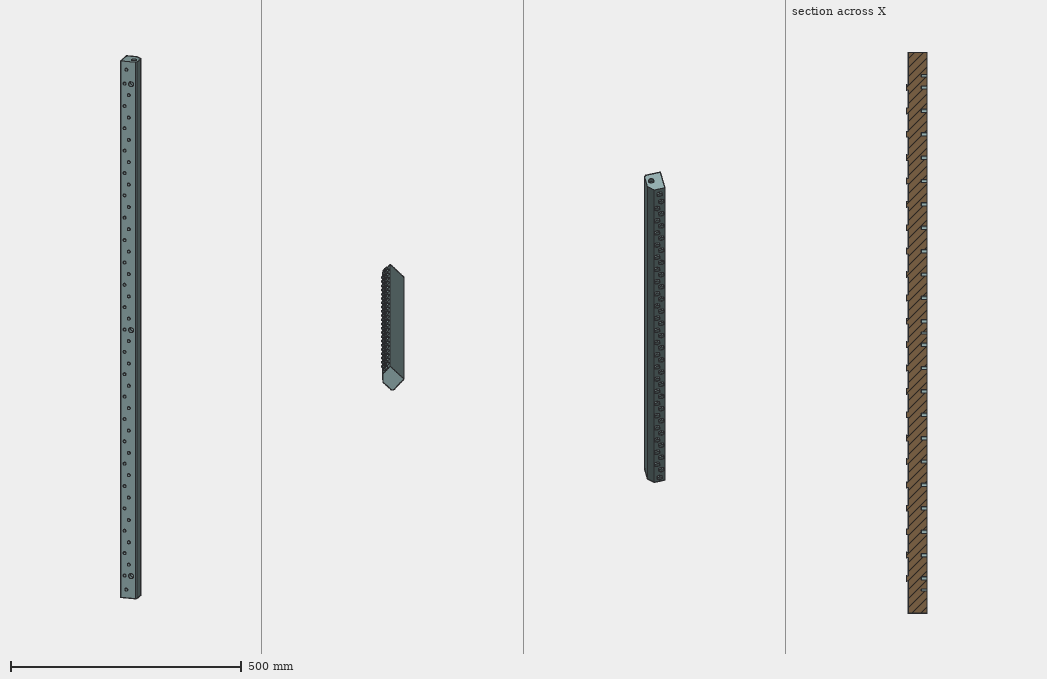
import cadquery as cq
import math

INCH = 25.4

length = 48 * INCH
width = 1.438 * INCH
overall_depth = 1.78 * INCH
head_height = 0.155 * INCH
bar_depth = overall_depth - head_height
rear_chamfer = 0.48 * INCH
front_chamfer = 0.125 * INCH

left_x = -width / 2
right_x = width / 2
front_y = -overall_depth / 2
rear_y = front_y + bar_depth
top_z = length / 2

hole_diameter = 0.25 * INCH
hole_depth = 0.5 * INCH
head_across_flats = 7 / 16 * INCH
head_across_corners = head_across_flats / math.cos(math.pi / 6)
outer_bolt_x = left_x + 11 / 32 * INCH
inner_bolt_x = 0
end_bolt_x = left_x + 0.5 * INCH
end_bolt_z = top_z - 0.75 * INCH
bolt_pitch = 1.0 * INCH
last_row = 22

pocket_diameter = 7 / 16 * INCH
pocket_depth = 0.5 * INCH
drill_point_angle = math.radians(118)
front_pocket_x = left_x + 0.93 * INCH
front_pocket_heights = (-last_row * bolt_pitch, 0, last_row * bolt_pitch)
top_pocket_x = right_x - 0.46 * INCH
top_pocket_y = front_y + 0.665 * INCH


def bar():
    """Full-length bar with a large chamfer on its rear right edge and a small one on its front right edge."""
    outline = [
        (left_x, front_y),
        (right_x - front_chamfer, front_y),
        (right_x, front_y + front_chamfer),
        (right_x, rear_y - rear_chamfer),
        (right_x - rear_chamfer, rear_y),
        (left_x, rear_y),
    ]
    return cq.Workplane("XY").workplane(offset=-top_z).polyline(outline).close().extrude(length)


def facing_rear(x, y, z):
    """Plane at a point, with its normal along +Y and its local axes along X and -Z."""
    return cq.Plane(origin=(x, y, z), xDir=(1, 0, 0), normal=(0, 1, 0))


def bolt_places():
    """X and Z of every bolt: rows alternate between two columns, with one more bolt near each end."""
    places = [(end_bolt_x, -end_bolt_z), (end_bolt_x, end_bolt_z)]
    for row in range(-last_row, last_row + 1):
        x = outer_bolt_x if row % 2 == 0 else inner_bolt_x
        places.append((x, row * bolt_pitch))
    return places


def bolt_hole(x, z):
    plane = facing_rear(x, front_y, z)
    return cq.Workplane(plane).circle(hole_diameter / 2).extrude(hole_depth)


def bolt_head(x, z):
    """Hexagonal head with two of its flats facing -X and +X."""
    turned = cq.Workplane(facing_rear(x, rear_y, z)).transformed(rotate=(0, 0, 90))
    return turned.polygon(6, head_across_corners).extrude(head_height)


def drilled_pocket(plane):
    """Blind hole with a conical drill point, entered along the normal of the plane."""
    radius = pocket_diameter / 2
    point_depth = radius / math.tan(drill_point_angle / 2)
    profile = [(0, 0), (radius, 0), (radius, pocket_depth), (0, pocket_depth + point_depth)]
    half_section = cq.Plane(origin=plane.origin, xDir=plane.xDir, normal=plane.xDir.cross(plane.zDir))
    return cq.Workplane(half_section).polyline(profile).close().revolve(360, (0, 0), (0, 1))


def as_compound(bodies):
    """One body that holds several separate ones, so that they are joined or cut in a single step."""
    return cq.Workplane(cq.Compound.makeCompound([body.val() for body in bodies]))


places = bolt_places()
heads = as_compound([bolt_head(x, z) for x, z in places])
holes = as_compound([bolt_hole(x, z) for x, z in places])
top_entry = cq.Plane(origin=(top_pocket_x, top_pocket_y, top_z), xDir=(1, 0, 0), normal=(0, 0, -1))
pocket_planes = [facing_rear(front_pocket_x, front_y, z) for z in front_pocket_heights]
pocket_planes.append(top_entry)
pockets = as_compound([drilled_pocket(plane) for plane in pocket_planes])

result = bar().union(heads).cut(holes).cut(pockets).solids()